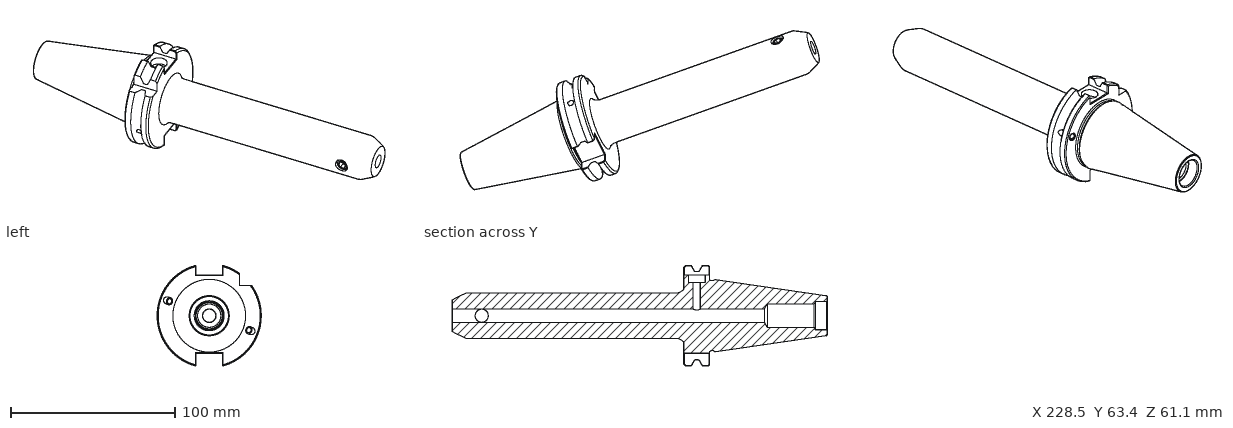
import cadquery as cq
import math


TOLERANCE = 0.02

TAPER_LENGTH = 68.5
GAUGE_RADIUS = 22.2
TAPER_SLOPE = 7 / 48
TAIL_CHAMFER = 0.5
UNDERCUT_DEPTH = 0.7
UNDERCUT_SLOPE_LENGTH = 1.0

FLANGE_START = 3.2
FLANGE_END = 19.0
FLANGE_RADIUS = 31.7
FLANGE_REAR_CHAMFER = 0.7
FLANGE_FRONT_CHAMFER = 1.1
GROOVE_CENTER = 11.0
GROOVE_HALF_WIDTH = 3.5
GROOVE_DEPTH = 3.7
GROOVE_FLANK_ANGLE = 30.0
GROOVE_FLOOR_FILLET = 1.0

NOSE_END = 228.5 - TAPER_LENGTH
SHANK_RADIUS = 14.0
NECK_FILLET = 6.0
NECK_LENGTH = 4.8
NOSE_CONE_LENGTH = 7.0
NOSE_RADIUS = 9.5
NOSE_CHAMFER_LENGTH = 1.4
NOSE_CHAMFER_DROP = 1.0
NOSE_FILLET = 2.7

BORE_RADIUS = 4.0
COUNTERBORE_RADIUS = 8.5
COUNTERBORE_DEPTH = 7.3
COUNTERBORE_CHAMFER = 0.7
THREAD_RADIUS = 8.0
THREAD_HOLE_RADIUS = 7.0
THREAD_HOLE_DEPTH = 36.5
DRILL_POINT_ANGLE = 60.0

DRIVE_SLOT_WIDTH = 16.0
DRIVE_SLOT_CHAMFER = 0.5
UPPER_SLOT_FLOOR = 25.0
LOWER_SLOT_FLOOR = 22.8
NOTCH_OFFSET = 18.5
CHIP_RECESS_RADIUS = 5.0
CHIP_RECESS_DEPTH = 4.5
CHIP_HOLE_RADIUS = 2.0

COOLANT_MOUTH_RADIUS = 2.3
COOLANT_MOUTH_DEPTH = 1.8
COOLANT_HOLE_RADIUS = 1.5
GROOVE_HOLE_RADIUS = 1.8
COOLANT_CIRCLE_RADIUS = 26.7
COOLANT_ANGLE = 20.0
COOLANT_TILT = 35.0

SCREW_X = NOSE_END - 18.0
SCREW_RADIUS = 4.0
SCREW_RECESS = 1.0
SCREW_CHAMFER = 1.1
SOCKET_WIDTH = 4.0
SOCKET_DEPTH = 3.7


def make_taper():
    tail_radius = GAUGE_RADIUS - TAPER_LENGTH * TAPER_SLOPE
    floor_radius = GAUGE_RADIUS - UNDERCUT_DEPTH
    return (
        cq.Workplane("XZ")
        .moveTo(-TAPER_LENGTH, 0)
        .lineTo(-TAPER_LENGTH, tail_radius - TAIL_CHAMFER)
        .lineTo(-TAPER_LENGTH + TAIL_CHAMFER, tail_radius + TAIL_CHAMFER * TAPER_SLOPE)
        .lineTo(0, GAUGE_RADIUS)
        .lineTo(UNDERCUT_SLOPE_LENGTH, floor_radius)
        .lineTo(FLANGE_START - UNDERCUT_SLOPE_LENGTH, floor_radius)
        .lineTo(FLANGE_START, GAUGE_RADIUS)
        .lineTo(FLANGE_START, 0)
        .close()
        .revolve(360, (0, 0), (1, 0))
    )


def make_disc():
    return (
        cq.Workplane("XZ")
        .moveTo(FLANGE_START, 0)
        .lineTo(FLANGE_START, FLANGE_RADIUS - FLANGE_REAR_CHAMFER)
        .lineTo(FLANGE_START + FLANGE_REAR_CHAMFER, FLANGE_RADIUS)
        .lineTo(FLANGE_END - FLANGE_FRONT_CHAMFER, FLANGE_RADIUS)
        .lineTo(FLANGE_END, FLANGE_RADIUS - FLANGE_FRONT_CHAMFER)
        .lineTo(FLANGE_END, 0)
        .close()
        .revolve(360, (0, 0), (1, 0))
    )


def flange_block(y_start, y_end, z_start, z_end):
    size = (FLANGE_END - FLANGE_START, y_end - y_start, z_end - z_start)
    return cq.Workplane("XY").box(*size, centered=False).translate((FLANGE_START, y_start, z_start))


def is_open_slot_edge(edge):
    box = edge.BoundingBox()
    in_slot = max(abs(box.ymin), abs(box.ymax)) < DRIVE_SLOT_WIDTH / 2 + TOLERANCE
    floor = UPPER_SLOT_FLOOR if box.zmin > 0 else LOWER_SLOT_FLOOR
    height = abs(edge.Center().z)
    runs_along_axis = box.xlen > TOLERANCE and box.ylen < TOLERANCE
    floor_corner = runs_along_axis and abs(height - floor) < TOLERANCE
    return in_slot and height > floor - TOLERANCE and not floor_corner


def cut_drive_slots(disc):
    half_width = DRIVE_SLOT_WIDTH / 2
    upper_slot = flange_block(-half_width, half_width, UPPER_SLOT_FLOOR, FLANGE_RADIUS)
    lower_slot = flange_block(-half_width, half_width, -FLANGE_RADIUS, -LOWER_SLOT_FLOOR)
    slotted = disc.cut(upper_slot).cut(lower_slot)
    return slotted.edges().filter(is_open_slot_edge).chamfer(DRIVE_SLOT_CHAMFER)


def make_v_groove():
    floor_radius = FLANGE_RADIUS - GROOVE_DEPTH
    slope = math.tan(math.radians(GROOVE_FLANK_ANGLE))
    floor_half_width = GROOVE_HALF_WIDTH - GROOVE_DEPTH * slope
    rim_clearance = 1.1
    rim_half_width = GROOVE_HALF_WIDTH + rim_clearance * slope
    ring = (
        cq.Workplane("XZ")
        .moveTo(GROOVE_CENTER - rim_half_width, FLANGE_RADIUS + rim_clearance)
        .lineTo(GROOVE_CENTER - floor_half_width, floor_radius)
        .lineTo(GROOVE_CENTER + floor_half_width, floor_radius)
        .lineTo(GROOVE_CENTER + rim_half_width, FLANGE_RADIUS + rim_clearance)
        .close()
        .revolve(360, (0, 0), (1, 0))
    )
    return ring.edges(cq.selectors.RadiusNthSelector(0)).fillet(GROOVE_FLOOR_FILLET)


def make_flange():
    notch = flange_block(-FLANGE_RADIUS, -NOTCH_OFFSET, NOTCH_OFFSET, FLANGE_RADIUS)
    return cut_drive_slots(make_disc()).cut(make_v_groove()).cut(notch)


def make_shank():
    neck_end = FLANGE_END + NECK_LENGTH
    fillet_height = NECK_FILLET - math.sqrt(NECK_FILLET**2 - NECK_LENGTH**2)
    cone_start = NOSE_END - NOSE_CHAMFER_LENGTH - NOSE_CONE_LENGTH
    shank = (
        cq.Workplane("XZ")
        .moveTo(FLANGE_END, 0)
        .lineTo(FLANGE_END, SHANK_RADIUS + fillet_height)
        .radiusArc((neck_end, SHANK_RADIUS), -NECK_FILLET)
        .lineTo(cone_start, SHANK_RADIUS)
        .lineTo(NOSE_END - NOSE_CHAMFER_LENGTH, NOSE_RADIUS + NOSE_CHAMFER_DROP)
        .lineTo(NOSE_END, NOSE_RADIUS)
        .lineTo(NOSE_END, 0)
        .close()
        .revolve(360, (0, 0), (1, 0))
    )
    shank_edge = cq.selectors.BoxSelector(
        (cone_start - 0.2, -SHANK_RADIUS, -SHANK_RADIUS),
        (cone_start + 0.2, SHANK_RADIUS, SHANK_RADIUS),
    )
    return shank.edges(shank_edge).fillet(NOSE_FILLET)


def make_bore():
    thread_end = -TAPER_LENGTH + THREAD_HOLE_DEPTH
    drop = THREAD_HOLE_RADIUS - BORE_RADIUS
    point_length = drop / math.tan(math.radians(DRILL_POINT_ANGLE))
    step = -TAPER_LENGTH + COUNTERBORE_DEPTH
    return (
        cq.Workplane("XZ")
        .moveTo(-TAPER_LENGTH, 0)
        .lineTo(-TAPER_LENGTH, COUNTERBORE_RADIUS + COUNTERBORE_CHAMFER)
        .lineTo(-TAPER_LENGTH + COUNTERBORE_CHAMFER, COUNTERBORE_RADIUS)
        .lineTo(step, COUNTERBORE_RADIUS)
        .lineTo(step, THREAD_RADIUS)
        .lineTo(step + THREAD_RADIUS - THREAD_HOLE_RADIUS, THREAD_HOLE_RADIUS)
        .lineTo(thread_end, THREAD_HOLE_RADIUS)
        .lineTo(thread_end + point_length, BORE_RADIUS)
        .lineTo(NOSE_END, BORE_RADIUS)
        .lineTo(NOSE_END, 0)
        .close()
        .revolve(360, (0, 0), (1, 0))
    )


def make_chip_recess():
    floor = cq.Workplane("XY", origin=(GROOVE_CENTER, 0, UPPER_SLOT_FLOOR))
    recess = floor.circle(CHIP_RECESS_RADIUS).extrude(-CHIP_RECESS_DEPTH)
    hole = floor.circle(CHIP_HOLE_RADIUS).extrude(-UPPER_SLOT_FLOOR)
    return recess.union(hole)


def make_coolant_holes(angle):
    tilt = math.radians(COOLANT_TILT)
    direction = cq.Vector(math.cos(tilt), -math.sin(tilt), 0)
    mouth = cq.Vector(FLANGE_START, COOLANT_CIRCLE_RADIUS, 0)
    mouth_overrun = 2 * COOLANT_MOUTH_RADIUS
    mouth_start = mouth - direction * mouth_overrun
    wide_hole = cq.Solid.makeCylinder(
        COOLANT_MOUTH_RADIUS, COOLANT_MOUTH_DEPTH + mouth_overrun, mouth_start, direction
    )
    length_to_crossing = (GROOVE_CENTER - FLANGE_START) / math.cos(tilt)
    narrow_hole = cq.Solid.makeCylinder(COOLANT_HOLE_RADIUS, length_to_crossing, mouth, direction)
    crossing_radius = COOLANT_CIRCLE_RADIUS - (GROOVE_CENTER - FLANGE_START) * math.tan(tilt)
    radial_hole = cq.Solid.makeCylinder(
        GROOVE_HOLE_RADIUS,
        FLANGE_RADIUS - crossing_radius,
        cq.Vector(GROOVE_CENTER, crossing_radius, 0),
        cq.Vector(0, 1, 0),
    )
    holes = (wide_hole, narrow_hole, radial_hole)
    return [hole.rotate(cq.Vector(0, 0, 0), cq.Vector(1, 0, 0), angle) for hole in holes]


def make_screw_hole():
    return cq.Workplane("XZ", origin=(SCREW_X, 0, 0)).circle(SCREW_RADIUS).extrude(SHANK_RADIUS)


def make_holder():
    holder = make_taper().union(make_flange()).union(make_shank())
    holder = holder.cut(make_bore()).cut(make_chip_recess())
    for angle in (COOLANT_ANGLE, COOLANT_ANGLE + 180):
        for hole in make_coolant_holes(angle):
            holder = holder.cut(cq.Workplane(hole))
    return holder.cut(make_screw_hole())


def make_screw():
    head = SHANK_RADIUS - SCREW_RECESS
    screw = (
        cq.Workplane("XZ", origin=(SCREW_X, -BORE_RADIUS, 0))
        .circle(SCREW_RADIUS)
        .extrude(head - BORE_RADIUS)
        .faces("<Y")
        .chamfer(SCREW_CHAMFER)
    )
    socket = (
        cq.Workplane("XZ", origin=(SCREW_X, -head, 0))
        .polygon(6, SOCKET_WIDTH / math.cos(math.radians(30)))
        .extrude(-SOCKET_DEPTH)
    )
    return screw.cut(socket)


holder = make_holder()
screw = make_screw()
result = cq.Compound.makeCompound([holder.val(), screw.val()])